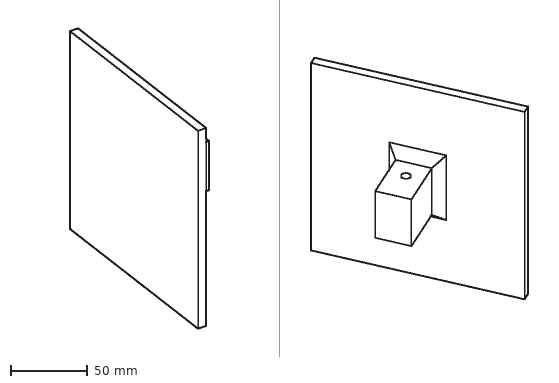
import cadquery as cq

plate_width = 150.0
plate_height = 152.4
plate_thickness = 6.4

total_depth = 50.7
block_width = 25.5
block_height = 38.0
flare = 7.3

hole_diameter = 6.4
hole_from_block_end = 23.0


def centred_box(width, depth, height):
    """Box centred in X and Z, with its front face at Y = 0."""
    return cq.Workplane("XY").box(width, depth, height, centered=(True, False, True))


plate = centred_box(plate_width, plate_thickness, plate_height)
block = centred_box(block_width, total_depth, block_height)

collar = (
    cq.Workplane("XZ", origin=(0, plate_thickness, 0))
    .rect(block_width + 2 * flare, block_height + 2 * flare)
    .workplane(offset=-flare)
    .rect(block_width, block_height)
    .loft(ruled=True)
)

hole = (
    cq.Workplane("XY")
    .center(0, total_depth - hole_from_block_end)
    .circle(hole_diameter / 2)
    .extrude(block_height / 2, both=True)
)

result = plate.union(block).union(collar).cut(hole)